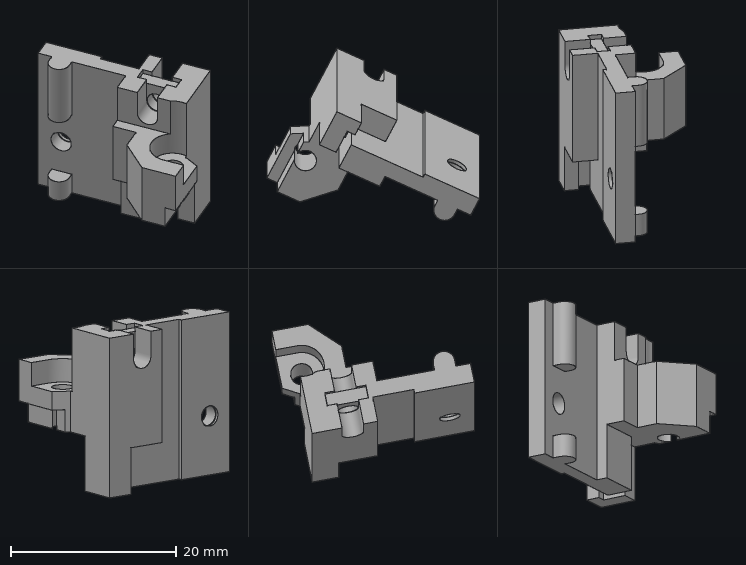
import cadquery as cq

LENGTH = 22.5
DEPTH = 15.2
HEIGHT = 19.8

PLATE_FRONT = -5.08
PLATE_REAR = -3.13
THICK_REAR = -2.65
THICK_RIGHT = 7.38

ROUND_DIAMETER = 2.65
SCREW_DIAMETER = 2.5
RIB_X = 3.13
RIB_CENTER_Y = -5.9
UPPER_RIB_BOTTOM = 11.8
LOWER_RIB_TOP = 2.84
PLATE_HOLE_X = 3.04
PLATE_HOLE_Z = 7.31

BLOCK_LEFT = 11.55
REAR_LEFT = 12.45
BLOCK_RIGHT = 20.52
BLOCK_FRONT = -7.63

FOOT_RIGHT = 17.05
FOOT_FRONT = -6.52
CLIP_TOP = 5.78
CLIP_WALL_X = 18.27
CLIP_FRONT = -4.82
HOOK_LEFT = 17.21
HOOK_FRONT = -1.75

ARM_BOTTOM = 6.85
ARM_TOP = 14.83
ARM_LEFT = 14.58
SHELF_FRONT = -8.98
ARM_CHAMFER = 3.46
SLANT_FRONT = -8.73
ARM_NOTCH_X = 21.1
ARM_NOTCH_TOP = 9.63

SEAT_X = 19.85
SEAT_Y = -10.04
SEAT_RADIUS = 2.75
SEAT_FLOOR = 11.92

CHANNEL_X = 15.5
CHANNEL_Z = 16.72
POCKET_WIDTH = 5.06
WEB_FRONT = -4.77
WEB_TOP = 19.24


def box(x_min, x_max, y_min, y_max, z_min=0.0, z_max=HEIGHT):
    """Box between two limits on each axis."""
    return cq.Workplane("XY").box(
        x_max - x_min, y_max - y_min, z_max - z_min, centered=False
    ).translate((x_min, y_min, z_min))


def y_cylinder(x, z, diameter, y_min, y_max):
    """Cylinder along Y."""
    profile = cq.Workplane("XZ", origin=(x, y_min, z)).circle(diameter / 2)
    return profile.extrude(y_min - y_max)


def z_cylinder(x, y, radius, z_min, z_max):
    """Cylinder along Z."""
    return cq.Workplane("XY", origin=(x, y, z_min)).circle(radius).extrude(z_max - z_min)


def make_plate():
    plate = box(0, BLOCK_RIGHT, PLATE_FRONT, PLATE_REAR)
    return plate.union(box(0, THICK_RIGHT, PLATE_FRONT, THICK_REAR))


def make_rib(z_min, z_max):
    radius = ROUND_DIAMETER / 2
    neck = box(RIB_X - radius, RIB_X + radius, RIB_CENTER_Y, PLATE_FRONT, z_min, z_max)
    return neck.union(z_cylinder(RIB_X, RIB_CENTER_Y, radius, z_min, z_max))


def make_block():
    front = box(BLOCK_LEFT, BLOCK_RIGHT, BLOCK_FRONT, PLATE_FRONT, ARM_BOTTOM)
    rear = box(REAR_LEFT, BLOCK_RIGHT, PLATE_REAR, 0)
    foot = box(BLOCK_LEFT, FOOT_RIGHT, FOOT_FRONT, PLATE_FRONT, 0, ARM_BOTTOM)
    return front.union(rear).union(foot)


def make_arm():
    outline = [
        (BLOCK_LEFT, BLOCK_FRONT),
        (BLOCK_LEFT, SHELF_FRONT),
        (ARM_LEFT, SHELF_FRONT),
        (ARM_LEFT, -DEPTH + ARM_CHAMFER),
        (ARM_LEFT + ARM_CHAMFER, -DEPTH),
        (LENGTH, -DEPTH),
        (LENGTH, SLANT_FRONT),
        (BLOCK_RIGHT, BLOCK_FRONT),
    ]
    arm = cq.Workplane("XY", origin=(0, 0, ARM_BOTTOM)).polyline(outline).close()
    arm = arm.extrude(ARM_TOP - ARM_BOTTOM)
    return arm.cut(box(ARM_NOTCH_X, LENGTH, -DEPTH, BLOCK_FRONT, ARM_BOTTOM, ARM_NOTCH_TOP))


def make_seat_cut():
    """Round seat open to the right, with a hole through its floor."""
    seat = z_cylinder(SEAT_X, SEAT_Y, SEAT_RADIUS, SEAT_FLOOR, HEIGHT)
    opening = box(SEAT_X, LENGTH, SEAT_Y - SEAT_RADIUS, BLOCK_FRONT, SEAT_FLOOR, HEIGHT)
    hole = z_cylinder(SEAT_X, SEAT_Y, ROUND_DIAMETER / 2, 0, HEIGHT)
    return seat.union(opening).union(hole)


def make_channel_length(y_min, y_max):
    radius = ROUND_DIAMETER / 2
    slot = box(CHANNEL_X - radius, CHANNEL_X + radius, y_min, y_max, CHANNEL_Z)
    return slot.union(y_cylinder(CHANNEL_X, CHANNEL_Z, ROUND_DIAMETER, y_min, y_max))


def make_channel_cut():
    """Channel on both sides of the web, the web's hole and the shallow pocket above it."""
    half_width = POCKET_WIDTH / 2
    pocket = box(CHANNEL_X - half_width, CHANNEL_X + half_width, WEB_FRONT, PLATE_REAR, WEB_TOP)
    hole = y_cylinder(CHANNEL_X, CHANNEL_Z, SCREW_DIAMETER, BLOCK_FRONT, 0)
    front = make_channel_length(BLOCK_FRONT, WEB_FRONT)
    rear = make_channel_length(PLATE_REAR, 0)
    return pocket.union(hole).union(front).union(rear)


def make_clip_cut():
    """Clearance that leaves a hooked wall beside the foot."""
    hook_gap = box(REAR_LEFT, HOOK_LEFT, HOOK_FRONT, 0, 0, CLIP_TOP)
    rear_gap = box(REAR_LEFT, CLIP_WALL_X, PLATE_REAR, HOOK_FRONT, 0, CLIP_TOP)
    slot = box(FOOT_RIGHT, CLIP_WALL_X, PLATE_FRONT, PLATE_REAR, 0, CLIP_TOP)
    front_relief = box(FOOT_RIGHT, BLOCK_RIGHT, PLATE_FRONT, CLIP_FRONT, 0, ARM_BOTTOM)
    return hook_gap.union(rear_gap).union(slot).union(front_relief)


def make_plate_hole():
    """Screw hole, wider at the front."""
    wide = y_cylinder(PLATE_HOLE_X, PLATE_HOLE_Z, ROUND_DIAMETER, PLATE_FRONT, PLATE_REAR)
    return wide.union(y_cylinder(PLATE_HOLE_X, PLATE_HOLE_Z, SCREW_DIAMETER, PLATE_FRONT, THICK_REAR))


result = make_plate().union(make_block()).union(make_arm())
result = result.union(make_rib(UPPER_RIB_BOTTOM, HEIGHT)).union(make_rib(0, LOWER_RIB_TOP))
for cutter in (make_seat_cut(), make_channel_cut(), make_clip_cut(), make_plate_hole()):
    result = result.cut(cutter)